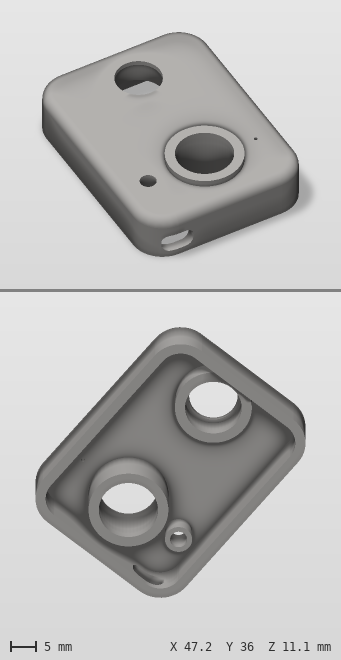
import cadquery as cq

LENGTH = 47.15
WIDTH = 35.95
SHELL_HEIGHT = 9.6
TOTAL_HEIGHT = 11.1
CORNER_RADIUS = 6.45
TOP_EDGE_RADIUS = 2.0
WALL = 2.0
CEILING_Z = SHELL_HEIGHT - WALL

LENS_X = 11.6
LENS_Y = 1.05
LENS_OUTER_DIAMETER = 15.5
LENS_BORE_DIAMETER = 11.5

SENSOR_X = -14.4
SENSOR_WINDOW_DIAMETER = 9.45
SENSOR_BORE_DIAMETER = 11.0
SENSOR_OUTER_DIAMETER = SENSOR_BORE_DIAMETER + 2 * WALL
SENSOR_LIP = 1.0
HANGING_TUBE_BOTTOM = 3.8

LIGHT_Y = -11.55
LIGHT_DIAMETER = 3.3
LIGHT_OUTER_DIAMETER = LIGHT_DIAMETER + WALL

MICROPHONE_Y = 12.45
MICROPHONE_DIAMETER = 0.75

PORT_WIDTH = 6.6
PORT_HEIGHT = 4.0
PORT_CORNER_RADIUS = 1.65
PORT_BOTTOM = 1.45


def rounded_block(length, width, height, corner_radius):
    block = cq.Workplane("XY").box(length, width, height, centered=(True, True, False))
    return block.edges("|Z").fillet(corner_radius)


def cylinder(x, y, diameter, bottom, top):
    return cq.Workplane("XY", origin=(x, y, bottom)).circle(diameter / 2).extrude(top - bottom)


def housing_shell():
    outside = rounded_block(LENGTH, WIDTH, SHELL_HEIGHT, CORNER_RADIUS)
    outside = outside.faces(">Z").edges().fillet(TOP_EDGE_RADIUS)
    cavity = rounded_block(LENGTH - 2 * WALL, WIDTH - 2 * WALL, CEILING_Z, CORNER_RADIUS - WALL)
    return outside.cut(cavity)


def add_tubes(body):
    body = body.union(cylinder(LENS_X, LENS_Y, LENS_OUTER_DIAMETER, 0, TOTAL_HEIGHT))
    tube_top = SHELL_HEIGHT - WALL / 2
    body = body.union(cylinder(SENSOR_X, LENS_Y, SENSOR_OUTER_DIAMETER, HANGING_TUBE_BOTTOM, tube_top))
    return body.union(cylinder(LENS_X, LIGHT_Y, LIGHT_OUTER_DIAMETER, HANGING_TUBE_BOTTOM, tube_top))


def cut_holes(body):
    through_holes = [
        (LENS_X, LENS_Y, LENS_BORE_DIAMETER),
        (SENSOR_X, LENS_Y, SENSOR_WINDOW_DIAMETER),
        (LENS_X, LIGHT_Y, LIGHT_DIAMETER),
        (LENS_X, MICROPHONE_Y, MICROPHONE_DIAMETER),
    ]
    for x, y, diameter in through_holes:
        body = body.cut(cylinder(x, y, diameter, 0, TOTAL_HEIGHT))
    sensor_bore_top = SHELL_HEIGHT - SENSOR_LIP
    return body.cut(cylinder(SENSOR_X, LENS_Y, SENSOR_BORE_DIAMETER, 0, sensor_bore_top))


def cable_port():
    depth = 2 * WALL
    port = cq.Workplane("XY").box(depth, PORT_WIDTH, PORT_HEIGHT)
    port = port.edges("|X").fillet(PORT_CORNER_RADIUS)
    return port.translate((LENGTH / 2 - depth / 2, LIGHT_Y, PORT_BOTTOM + PORT_HEIGHT / 2))


result = cut_holes(add_tubes(housing_shell())).cut(cable_port())